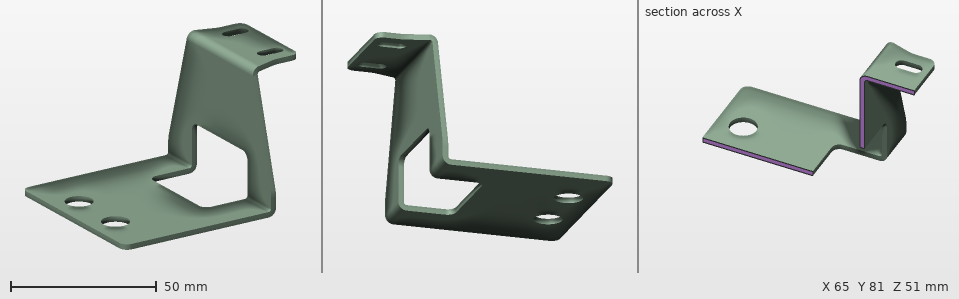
import math

import cadquery as cq

width = 65.0
length = 81.0
height = 51.0

thickness = 2.0
bend_inner = 1.0
bend_outer = bend_inner + thickness
corner_radius = 3.0

wall_inner_y = 60.0
wall_outer_y = wall_inner_y + thickness
lower_bend_y = wall_outer_y - bend_outer
wall_shoulder_z = 8.3
shoulder_radius = 9.0
pick_margin = 1.0
upper_bend_z = height - bend_outer
upper_bend_y = wall_inner_y + bend_outer

bend_start_half = 20.95
bend_end_half = 20.45
bend_curve_steps = 20

tab_half = 18.0
tab_shoulder_y = 71.0

window_width = 35.0
window_front_y = 42.25
window_top_z = 18.75

hole_diameter = 10.0
hole_spacing = 23.0
hole_y = 10.0
slot_width = 4.5
slot_length = 10.0
slot_spacing = 22.0
slot_end_distance = 7.5
slot_y = length - slot_end_distance


def box_between(x0, x1, y0, y1, z0, z1):
    """Axis-aligned box from its limits."""
    return cq.Workplane("XY").box(x1 - x0, y1 - y0, z1 - z0, centered=False).translate((x0, y0, z0))


def make_base():
    """Flat base plate with rounded front corners, ending at the lower bend."""
    plate = box_between(-width / 2, width / 2, 0, lower_bend_y, 0, thickness)
    return plate.edges("|Z and <Y").fillet(corner_radius)


def bend_ring(centre_y, centre_z, y_side, z_side, half):
    """Quarter ring about an X axis, in the quadrant given by the two signs."""
    diagonal = math.sqrt(0.5)

    def at(radius, y_part, z_part):
        return (centre_y + y_side * radius * y_part, centre_z + z_side * radius * z_part)

    return (
        cq.Workplane("YZ")
        .moveTo(*at(bend_outer, 0, 1))
        .threePointArc(at(bend_outer, diagonal, diagonal), at(bend_outer, 1, 0))
        .lineTo(*at(bend_inner, 1, 0))
        .threePointArc(at(bend_inner, diagonal, diagonal), at(bend_inner, 0, 1))
        .close()
        .extrude(half, both=True)
    )


def make_lower_bend():
    """Bend joining the base to the wall."""
    return bend_ring(lower_bend_y, bend_outer, 1, -1, width / 2)


def make_wall():
    """Tapered upright wall between the two bends."""
    wall = (
        cq.Workplane("XZ", origin=(0, wall_outer_y, 0))
        .polyline([
            (-width / 2, bend_outer),
            (width / 2, bend_outer),
            (width / 2, wall_shoulder_z),
            (bend_start_half, upper_bend_z),
            (-bend_start_half, upper_bend_z),
            (-width / 2, wall_shoulder_z),
        ])
        .close()
        .extrude(thickness)
    )
    shoulders = cq.selectors.BoxSelector(
        (-width, 0, wall_shoulder_z - pick_margin),
        (width, length, wall_shoulder_z + pick_margin),
    )
    return wall.edges("|Y").edges(shoulders).fillet(shoulder_radius)


def bend_edge(radius, side):
    """Side edge of the upper bend; its half width shrinks evenly with the bend angle."""
    return cq.Workplane("XY").parametricCurve(
        lambda t: (
            side * (bend_start_half + (bend_end_half - bend_start_half) * t),
            upper_bend_y - radius * math.cos(t * math.pi / 2),
            upper_bend_z + radius * math.sin(t * math.pi / 2),
        ),
        N=bend_curve_steps,
    ).edges().val()


def make_upper_bend():
    """Bend from the wall to the tab, its sides tapering around the bend."""
    ring = bend_ring(upper_bend_y, upper_bend_z, -1, 1, bend_start_half)
    margin = bend_inner / 2
    for side in (-1, 1):
        side_face = cq.Face.makeRuledSurface(
            bend_edge(bend_inner - margin, side), bend_edge(bend_outer + margin, side)
        )
        trim = cq.Solid.extrudeLinear(side_face, cq.Vector(side * bend_outer, 0, 0))
        ring = ring.cut(cq.Workplane(trim))
    return ring


def make_tab():
    """Top tab, tapering to parallel sides with rounded free corners."""
    tab = (
        cq.Workplane("XY", origin=(0, 0, height - thickness))
        .polyline([
            (-bend_end_half, upper_bend_y),
            (bend_end_half, upper_bend_y),
            (tab_half, tab_shoulder_y),
            (tab_half, length),
            (-tab_half, length),
            (-tab_half, tab_shoulder_y),
        ])
        .close()
        .extrude(thickness)
    )
    shoulders = cq.selectors.BoxSelector(
        (-width, tab_shoulder_y - pick_margin, 0),
        (width, tab_shoulder_y + pick_margin, height),
    )
    tab = tab.edges("|Z").edges(shoulders).fillet(shoulder_radius)
    return tab.edges("|Z and >Y").fillet(corner_radius)


def make_window():
    """Cutter for the rounded opening in the base, lower bend and wall."""
    half = window_width / 2
    base_part = box_between(-half, half, window_front_y, length, -thickness, bend_outer)
    wall_part = box_between(-half, half, wall_inner_y - bend_inner, length, -thickness, window_top_z)
    base_part = base_part.edges("|Z and <Y").fillet(corner_radius)
    wall_part = wall_part.edges("|Y and >Z").fillet(corner_radius)
    return base_part.union(wall_part)


def make_base_holes():
    """Cutter for the pair of round holes in the base."""
    return (
        cq.Workplane("XY")
        .pushPoints([(-hole_spacing / 2, hole_y), (hole_spacing / 2, hole_y)])
        .circle(hole_diameter / 2)
        .extrude(thickness)
    )


def make_tab_slots():
    """Cutter for the pair of slots in the tab, long along Y."""
    return (
        cq.Workplane("XY", origin=(0, 0, height - thickness))
        .pushPoints([(-slot_spacing / 2, slot_y), (slot_spacing / 2, slot_y)])
        .slot2D(slot_length, slot_width, 90)
        .extrude(thickness)
    )


result = make_base()
for section in (make_lower_bend(), make_wall(), make_upper_bend(), make_tab()):
    result = result.union(section, clean=False)

for cutter in (make_window(), make_base_holes(), make_tab_slots()):
    result = result.cut(cutter, clean=False)